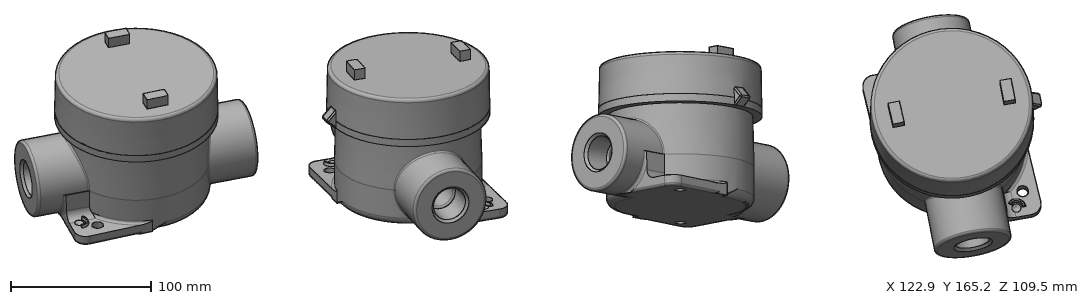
import cadquery as cq
import math


barrel_radius = 52.6
barrel_top_radius = 51.75
barrel_height = 65.0
rim_radius = 6.0
rim_run_out_start = -5.2
rim_run_out_slope = 0.505

hub_diameter = 55.55
hub_axis_height = hub_diameter / 2
hub_span = 165.15
hub_edge_radius = 1.9
hub_root_radius = 1.2

entry_diameter = 28.1
entry_depth = 2.0
taper_large_diameter = 24.36
taper_small_diameter = 23.0
taper_end_depth = 20.0
bushing_diameter = 20.12
bushing_radius = (taper_small_diameter - bushing_diameter) / 2

foot_thickness = 7.7
foot_end_y = 61.6
foot_corner_x = 54.85
foot_tangent_x = 52.5
foot_tangent_y = 5.0
foot_corner_radius = 8.5
foot_edge_radius = 1.8
root_overlap = 1.0
foot_root_radius = 2.0
foot_end_root_radius = 2.2
web_half_width = 28.4
web_root_radius = 6.5
mount_hole_diameter = 8.15
mount_hole_x = -43.2
mount_hole_y = 43.2

dimple_diameter = 6.35
dimple_point_angle = 118.0
dimple_x = -36.5
dimple_y = 54.8
ridge_base_inner_radius = 4.2
ridge_base_outer_radius = 6.9
ridge_side_run = 0.75
ridge_height = 2.0
ridge_start_angle = 179.0
ridge_sweep = 141.0

lid_bottom = barrel_height
lid_top = 101.47
lid_skirt_radius = 58.3
lid_skirt_height = 5.5
lid_cone_base_radius = 58.2
lid_cone_top_radius = 57.6
lid_edge_radius = 2.5

lug_width = 8.2
lug_length = 16.0
lug_top = 109.47
lug_places = [(-40.5, -0.9, 0.0), (40.5, 1.2, 1.8)]

stop_tip_x = lid_skirt_radius - 122.92
stop_tip_low = 70.2
stop_tip_high = 71.6
stop_root_x = -58.6
stop_root_high = 77.9
stop_centre_y = -1.6
stop_width = 10.2
stop_edge_chamfer = 1.15


def make_rim_cutter():
    """Material removed to round the bottom rim, fading out towards the foot at -X."""
    margin = 1.0
    arc_centre = barrel_radius - rim_radius
    arc_offset = rim_radius * math.sqrt(0.5)
    ring = (
        cq.Workplane("XZ")
        .moveTo(arc_centre, 0)
        .threePointArc((arc_centre + arc_offset, rim_radius - arc_offset), (barrel_radius, rim_radius))
        .lineTo(barrel_radius + margin, rim_radius)
        .lineTo(barrel_radius + margin, -margin)
        .lineTo(arc_centre, -margin)
        .close()
        .revolve(360, (0, 0, 0), (0, 1, 0))
    )
    run_out_end = rim_run_out_start + (rim_radius + margin) / rim_run_out_slope
    reach = barrel_radius + 2 * margin
    side = (
        cq.Workplane("YZ")
        .polyline([
            (-reach, -margin),
            (run_out_end, -margin),
            (rim_run_out_start, rim_radius),
            (-reach, rim_radius),
        ])
        .close()
        .extrude(-reach)
    )
    return ring.intersect(side)


def make_barrel(bottom):
    return (
        cq.Workplane("XZ")
        .polyline([
            (0, bottom),
            (barrel_radius, bottom),
            (barrel_radius, hub_axis_height),
            (barrel_top_radius, barrel_height),
            (0, barrel_height),
        ])
        .close()
        .revolve(360, (0, 0, 0), (0, 1, 0))
    )


def make_hubs():
    """Both hubs as one through cylinder, turned so that its seam lies at the top."""
    return (
        cq.Workplane("XZ")
        .center(0, hub_axis_height)
        .circle(hub_diameter / 2)
        .extrude(hub_span / 2, both=True)
        .faces("<Y or >Y")
        .edges()
        .fillet(hub_edge_radius)
        .rotate((0, 0, hub_axis_height), (0, 1, hub_axis_height), -90)
    )


def make_barrel_with_hubs():
    """Barrel and hubs with a rounded joint.

    The barrel starts below the base, so that each joint is a complete loop around its hub.
    The surplus is cut off after rounding.
    """
    surplus = hub_diameter / 4
    hubs = make_hubs()
    body = make_barrel(-surplus).union(hubs)
    joint_reach = hub_diameter / 2 + hub_root_radius
    joint_near_y = barrel_radius - joint_reach / 2
    joint_far_y = barrel_radius + hub_root_radius
    joint_top = hub_axis_height + joint_reach
    joints = cq.Workplane("XY")
    for side in (-1, 1):
        joint_box = cq.selectors.BoxSelector(
            (-joint_reach, side * joint_near_y, -joint_reach),
            (joint_reach, side * joint_far_y, joint_top),
            boundingbox=True,
        )
        joints = joints.add(body.edges(joint_box).vals())
    body = body.newObject(joints.vals()).fillet(hub_root_radius)

    surplus_block = (
        cq.Workplane("XY")
        .rect(hub_span, hub_span)
        .extrude(-2 * surplus)
    )
    body = body.cut(surplus_block)
    rim_cutter = make_rim_cutter().cut(hubs)
    for turn in (0, 180):
        body = body.cut(rim_cutter.rotate((0, 0, 0), (0, 0, 1), turn))
    return body


def make_foot_plate(height):
    return (
        cq.Workplane("XY")
        .polyline([
            (0, 0),
            (0, foot_end_y),
            (-foot_corner_x, foot_end_y),
            (-foot_tangent_x, foot_tangent_y),
        ])
        .close()
        .extrude(height)
        .edges(cq.selectors.NearestToPointSelector((-foot_corner_x, foot_end_y, height / 2)))
        .fillet(foot_corner_radius)
    )


def make_web():
    """Wall that carries the hub down to the foot, with a rounded root."""
    root_end = web_half_width + web_root_radius
    root_top = foot_thickness + web_root_radius
    arc_offset = web_root_radius * (1 - math.sqrt(0.5))
    return (
        cq.Workplane("XZ")
        .moveTo(0, 0)
        .lineTo(-root_end, 0)
        .lineTo(-root_end, foot_thickness)
        .threePointArc((-web_half_width - arc_offset, foot_thickness + arc_offset), (-web_half_width, root_top))
        .lineTo(-web_half_width, hub_axis_height)
        .lineTo(0, hub_axis_height)
        .close()
        .extrude(-foot_end_y)
    )


def make_barrel_root():
    """Concave ring that blends the barrel into the top of the foot."""
    inner = barrel_radius - root_overlap
    outer = barrel_radius + foot_root_radius
    top = foot_thickness + foot_root_radius
    arc_offset = foot_root_radius * (1 - math.sqrt(0.5))
    ring = (
        cq.Workplane("XZ")
        .moveTo(inner, 0)
        .lineTo(outer, 0)
        .lineTo(outer, foot_thickness)
        .threePointArc((barrel_radius + arc_offset, foot_thickness + arc_offset), (barrel_radius, top))
        .lineTo(inner, top)
        .close()
        .revolve(360, (0, 0, 0), (0, 1, 0))
    )
    return ring.intersect(make_foot_plate(top))


def make_end_root():
    """Concave collar that blends the foot end face into the underside of the hub."""
    hub_radius = hub_diameter / 2
    inner = hub_radius - root_overlap
    overlap_y = foot_end_y - root_overlap
    arc_offset = foot_end_root_radius * (1 - math.sqrt(0.5))
    collar = (
        cq.Workplane("XY")
        .moveTo(inner, overlap_y)
        .lineTo(hub_radius + foot_end_root_radius, overlap_y)
        .lineTo(hub_radius + foot_end_root_radius, foot_end_y)
        .threePointArc(
            (hub_radius + arc_offset, foot_end_y + arc_offset),
            (hub_radius, foot_end_y + foot_end_root_radius),
        )
        .lineTo(inner, foot_end_y + foot_end_root_radius)
        .close()
        .revolve(360, (0, 0, 0), (0, 1, 0))
        .translate((0, 0, hub_axis_height))
    )
    web_quarter = cq.Workplane("XY").box(
        web_half_width, 2 * foot_end_y, hub_axis_height, centered=(True, False, False)
    )
    return collar.intersect(web_quarter.translate((-web_half_width / 2, 0, 0)))


def make_ridge():
    crest_inner = ridge_base_inner_radius + ridge_side_run
    crest_outer = ridge_base_outer_radius - ridge_side_run
    return (
        cq.Workplane("XZ")
        .polyline([
            (ridge_base_inner_radius, 0),
            (ridge_base_outer_radius, 0),
            (crest_outer, ridge_height),
            (crest_inner, ridge_height),
        ])
        .close()
        .revolve(ridge_sweep, (0, 0, 0), (0, -1, 0))
        .rotate((0, 0, 0), (0, 0, 1), ridge_start_angle + ridge_sweep)
        .translate((dimple_x, dimple_y, foot_thickness))
    )


def make_foot():
    """Complete foot on the -X, +Y side, before its holes are cut."""
    outer_edges = cq.selectors.BoxSelector(
        (-foot_corner_x - foot_edge_radius, foot_tangent_y, -foot_edge_radius),
        (-foot_edge_radius, foot_end_y + foot_edge_radius, foot_edge_radius),
    )
    return (
        make_foot_plate(foot_thickness)
        .union(make_web())
        .faces("<Z")
        .edges(outer_edges)
        .fillet(foot_edge_radius)
        .union(make_barrel_root())
        .union(make_end_root())
        .union(make_ridge())
    )


def make_foot_holes():
    dimple_radius = dimple_diameter / 2
    dimple_depth = dimple_radius / math.tan(math.radians(dimple_point_angle / 2))
    point = cq.Solid.makeCone(0, dimple_radius, dimple_depth)
    clearance = cq.Solid.makeCylinder(dimple_radius, ridge_height, cq.Vector(0, 0, dimple_depth))
    dimple = (
        cq.Workplane(point.fuse(clearance))
        .translate((dimple_x, dimple_y, foot_thickness - dimple_depth))
    )
    mount_hole = (
        cq.Workplane("XY")
        .center(mount_hole_x, mount_hole_y)
        .circle(mount_hole_diameter / 2)
        .extrude(foot_thickness + foot_root_radius)
    )
    return dimple.union(mount_hole)


def make_bore():
    """Bore entering at the -Y hub face and reaching the middle of the housing."""
    face = -hub_span / 2
    bushing = bushing_diameter / 2
    taper_end = face + taper_end_depth
    arc_offset = bushing_radius * math.sqrt(0.5)
    arc_middle = (bushing + bushing_radius - arc_offset, taper_end + bushing_radius - arc_offset)
    return (
        cq.Workplane("XY")
        .moveTo(0, face)
        .lineTo(entry_diameter / 2, face)
        .lineTo(taper_large_diameter / 2, face + entry_depth)
        .lineTo(taper_small_diameter / 2, taper_end)
        .threePointArc(arc_middle, (bushing, taper_end + bushing_radius))
        .lineTo(bushing, 0)
        .lineTo(0, 0)
        .close()
        .revolve(360, (0, 0, 0), (0, 1, 0))
        .translate((0, 0, hub_axis_height))
    )


def make_housing():
    body = make_barrel_with_hubs()
    foot = make_foot()
    foot_holes = make_foot_holes()
    bore = make_bore()
    for turn in (0, 180):
        body = body.union(foot.rotate((0, 0, 0), (0, 0, 1), turn))
    for turn in (0, 180):
        body = body.cut(foot_holes.rotate((0, 0, 0), (0, 0, 1), turn))
        body = body.cut(bore.rotate((0, 0, 0), (0, 0, 1), turn))
    return body


def make_lid_cap():
    skirt_top = lid_bottom + lid_skirt_height
    return (
        cq.Workplane("XZ")
        .polyline([
            (0, lid_bottom),
            (lid_skirt_radius, lid_bottom),
            (lid_skirt_radius, skirt_top),
            (lid_cone_base_radius, skirt_top),
            (lid_cone_top_radius, lid_top),
            (0, lid_top),
        ])
        .close()
        .revolve(360, (0, 0, 0), (0, 1, 0))
        .faces(">Z")
        .edges()
        .fillet(lid_edge_radius)
    )


def make_lug(x, y, turn):
    return (
        cq.Workplane("XY")
        .box(lug_width, lug_length, lug_top - lid_top, centered=(True, True, False))
        .rotate((0, 0, 0), (0, 0, 1), turn)
        .translate((x, y, lid_top))
    )


def make_stop():
    inside_x = stop_root_x + lid_edge_radius
    return (
        cq.Workplane("XZ", origin=(0, stop_centre_y, 0))
        .polyline([
            (inside_x, lid_bottom),
            (stop_root_x, lid_bottom),
            (stop_tip_x, stop_tip_low),
            (stop_tip_x, stop_tip_high),
            (stop_root_x, stop_root_high),
            (inside_x, stop_root_high + lid_edge_radius),
        ])
        .close()
        .extrude(stop_width / 2, both=True)
        .faces("<Y or >Y")
        .edges("not(>X or <Z)")
        .chamfer(stop_edge_chamfer)
    )


def make_lid():
    lid = make_lid_cap().union(make_stop())
    for x, y, turn in lug_places:
        lid = lid.union(make_lug(x, y, turn))
    return lid


housing = make_housing()
lid = make_lid()

result = cq.Compound.makeCompound([housing.val(), lid.val()])